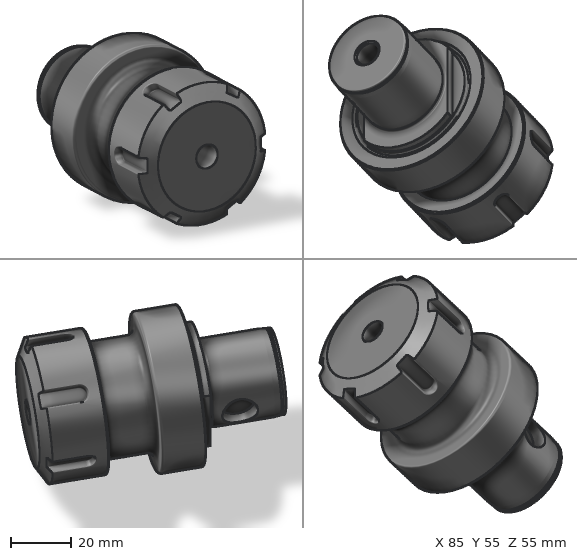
import cadquery as cq
import math

TOTAL_LENGTH = 85.0

CUT_CLEARANCE = 0.85

TOUCH_TOLERANCE = 0.01

BORE_RADIUS = 4.2
BORE_CHAMFER = 0.6

SHANK_RADIUS = 30.0 / 2
END_FACE_RADIUS = 14.1
PILOT_RADIUS = 14.7
PILOT_START_X = 1.0
PILOT_END_X = 1.8
STEP_END_X = 2.0
STEP_RADIUS = 14.8
LEAD_IN_END_X = 4.1
RELIEF_START_X = 24.1
RELIEF_END_X = 25.2
RELIEF_RADIUS = 14.7

RECESS_X = 15.9
RECESS_RADIUS = 6.0
RECESS_FLOOR_Y = 10.2

COLLAR_START_X = 26.2
COLLAR_END_X = 28.65
COLLAR_RADIUS = 42.0 / 2
FLAT_END_X = 29.7
FLAT_DISTANCE = 16.0
NECK_DOWN_RADIUS = 20.6

GROOVE_FLOOR_X = 30.5
GROOVE_FLOOR_RADIUS = 21.5
GROOVE_MOUTH_RADIUS = 22.6

FLANGE_START_X = 30.0
FLANGE_END_X = 45.05
FLANGE_RADIUS = 55.0 / 2
FLANGE_FRONT_CHAMFER = 0.3
FLANGE_REAR_FILLET = 1.0

NECK_RADIUS = 39.95 / 2
NECK_FILLET = 2.9

NUT_START_X = 62.4
NUT_RADIUS = 49.7 / 2
NUT_REAR_CHAMFER = 0.5
NUT_CONE_START_X = 81.7
NUT_FACE_RADIUS = 19.0

SLOT_COUNT = 6
SLOT_CENTRE_X = 69.8
SLOT_FLOOR_RADIUS = 22.0
SLOT_FLOOR_HALF_WIDTH = 2.55
SLOT_DRAFT = 8.0
SLOT_FLOOR_FILLET = 0.4
SLOT_RIM_FILLET = 0.38


def revolve_about_x(outline):
    """Turn a closed outline in the XZ plane (axial position, radius) about X."""
    return outline.close().revolve(360, (0, 0, 0), (1, 0, 0))


def arc_middle(start, end, centre):
    """Point halfway along the short arc from start to end about the centre."""
    radius = math.dist(start, centre)
    middle_x = (start[0] + end[0]) / 2 - centre[0]
    middle_y = (start[1] + end[1]) / 2 - centre[1]
    length = math.hypot(middle_x, middle_y)
    return centre[0] + radius * middle_x / length, centre[1] + radius * middle_y / length


def turned_holder():
    """Shank, collar, flange and neck as one turned piece with its bore."""
    relief_fillet = COLLAR_START_X - RELIEF_END_X
    relief_end = (RELIEF_END_X, RELIEF_RADIUS)
    relief_top = (COLLAR_START_X, RELIEF_RADIUS + relief_fillet)
    relief_centre = (RELIEF_END_X, RELIEF_RADIUS + relief_fillet)

    groove_start = (FLAT_END_X, NECK_DOWN_RADIUS)
    groove_floor = (GROOVE_FLOOR_X, GROOVE_FLOOR_RADIUS)
    groove_centre = (FLAT_END_X, GROOVE_FLOOR_RADIUS)

    rim_fillet_start = (FLANGE_END_X - FLANGE_REAR_FILLET, FLANGE_RADIUS)
    rim_fillet_end = (FLANGE_END_X, FLANGE_RADIUS - FLANGE_REAR_FILLET)
    rim_fillet_centre = (FLANGE_END_X - FLANGE_REAR_FILLET, FLANGE_RADIUS - FLANGE_REAR_FILLET)

    neck_fillet_start = (FLANGE_END_X, NECK_RADIUS + NECK_FILLET)
    neck_fillet_end = (FLANGE_END_X + NECK_FILLET, NECK_RADIUS)
    neck_fillet_centre = (FLANGE_END_X + NECK_FILLET, NECK_RADIUS + NECK_FILLET)

    outline = (
        cq.Workplane("XZ")
        .moveTo(BORE_CHAMFER, BORE_RADIUS)
        .lineTo(0, BORE_RADIUS + BORE_CHAMFER)
        .lineTo(0, END_FACE_RADIUS)
        .tangentArcPoint((PILOT_START_X, PILOT_RADIUS), relative=False)
        .lineTo(PILOT_END_X, PILOT_RADIUS)
        .lineTo(STEP_END_X, STEP_RADIUS)
        .lineTo(LEAD_IN_END_X, SHANK_RADIUS)
        .lineTo(RELIEF_START_X, SHANK_RADIUS)
        .lineTo(*relief_end)
        .threePointArc(arc_middle(relief_end, relief_top, relief_centre), relief_top)
        .lineTo(COLLAR_START_X, COLLAR_RADIUS)
        .lineTo(COLLAR_END_X, COLLAR_RADIUS)
        .lineTo(*groove_start)
        .threePointArc(arc_middle(groove_start, groove_floor, groove_centre), groove_floor)
        .lineTo(FLANGE_START_X, GROOVE_MOUTH_RADIUS)
        .lineTo(FLANGE_START_X, FLANGE_RADIUS - FLANGE_FRONT_CHAMFER)
        .lineTo(FLANGE_START_X + FLANGE_FRONT_CHAMFER, FLANGE_RADIUS)
        .lineTo(*rim_fillet_start)
        .threePointArc(
            arc_middle(rim_fillet_start, rim_fillet_end, rim_fillet_centre), rim_fillet_end
        )
        .lineTo(*neck_fillet_start)
        .threePointArc(
            arc_middle(neck_fillet_start, neck_fillet_end, neck_fillet_centre), neck_fillet_end
        )
        .lineTo(NUT_START_X, NECK_RADIUS)
        .lineTo(NUT_START_X, BORE_RADIUS)
    )
    return revolve_about_x(outline)


def wrench_flat_cutter(side):
    """Block that planes one flat on the collar; side is -1 for -Y and +1 for +Y."""
    return cq.Workplane("XY").box(
        FLAT_END_X - COLLAR_START_X, COLLAR_RADIUS, 2 * COLLAR_RADIUS
    ).translate(
        ((COLLAR_START_X + FLAT_END_X) / 2, side * (FLAT_DISTANCE + COLLAR_RADIUS / 2), 0)
    )


def shank_recess_cutter():
    """Cylinder along Y that sinks the blind recess into the +Y side of the shank."""
    return (
        cq.Workplane("XZ", origin=(RECESS_X, RECESS_FLOOR_Y, 0))
        .circle(RECESS_RADIUS)
        .extrude(-SHANK_RADIUS)
    )


def make_holder():
    """Turned holder with its wrench flats and shank recess."""
    holder = turned_holder()
    for side in (-1, 1):
        holder = holder.cut(wrench_flat_cutter(side))
    return holder.cut(shank_recess_cutter())


def slot_cutter():
    """Drafted slot with a round inner end, on the -Y side, running out past the nut's front."""
    reach = NUT_RADIUS - SLOT_FLOOR_RADIUS + CUT_CLEARANCE
    slot_width = 2 * SLOT_FLOOR_HALF_WIDTH
    run_out_x = TOTAL_LENGTH + slot_width
    length = run_out_x - SLOT_CENTRE_X + slot_width
    return (
        cq.Workplane("XZ", origin=((SLOT_CENTRE_X + run_out_x) / 2, -SLOT_FLOOR_RADIUS, 0))
        .slot2D(length, slot_width)
        .extrude(reach, taper=-SLOT_DRAFT)
        .faces(">Y")
        .edges()
        .fillet(SLOT_FLOOR_FILLET)
    )


def slot_rim_edges(nut):
    """Edges where the slot walls meet the cylinder of the nut."""
    rim = []
    for edge in nut.edges().vals():
        middle = edge.positionAt(0.5)
        on_cylinder = abs(math.hypot(middle.y, middle.z) - NUT_RADIUS) < TOUCH_TOLERANCE
        off_rear_edge = middle.x > NUT_START_X + NUT_REAR_CHAMFER + TOUCH_TOLERANCE
        off_front_edge = middle.x < TOTAL_LENGTH - TOUCH_TOLERANCE
        if on_cylinder and off_rear_edge and off_front_edge:
            rim.append(edge)
    return rim


def front_cone_cutter():
    """Ring that leaves a cone at the nut's front."""
    outline = (
        cq.Workplane("XZ")
        .moveTo(NUT_CONE_START_X, NUT_RADIUS)
        .lineTo(TOTAL_LENGTH, NUT_FACE_RADIUS)
        .lineTo(TOTAL_LENGTH, NUT_RADIUS)
    )
    return revolve_about_x(outline)


def make_nut():
    """Slotted nut that butts against the end of the neck and carries the bore on."""
    outline = (
        cq.Workplane("XZ")
        .moveTo(NUT_START_X, BORE_RADIUS)
        .lineTo(NUT_START_X, NUT_RADIUS - NUT_REAR_CHAMFER)
        .lineTo(NUT_START_X + NUT_REAR_CHAMFER, NUT_RADIUS)
        .lineTo(TOTAL_LENGTH, NUT_RADIUS)
        .lineTo(TOTAL_LENGTH, BORE_RADIUS)
    )
    nut = revolve_about_x(outline)
    cutter = slot_cutter()
    for index in range(SLOT_COUNT):
        nut = nut.cut(cutter.rotate((0, 0, 0), (1, 0, 0), index * 360 / SLOT_COUNT))
    nut = nut.newObject(slot_rim_edges(nut)).fillet(SLOT_RIM_FILLET)
    return nut.cut(front_cone_cutter())


holder = make_holder()
nut = make_nut()

result = cq.Compound.makeCompound([holder.val(), nut.val()])